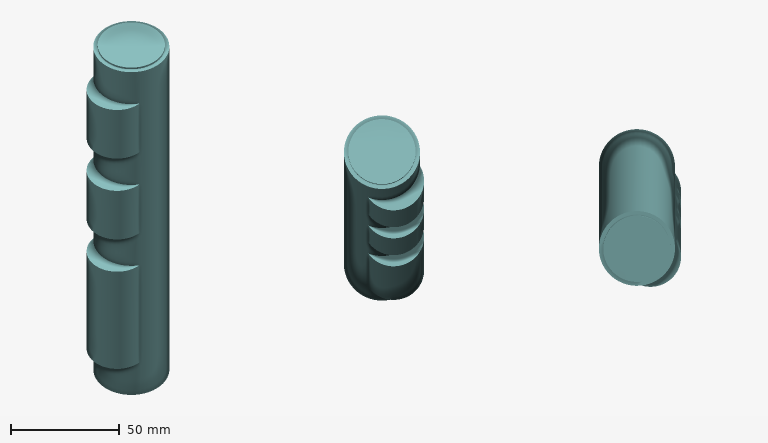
import cadquery as cq

total_length = 202.0
housing_diameter = 35.0
cap_diameter = 31.0
cap_thickness = 1.0
pad_diameter = 28.0
overall_depth = 41.5
short_pad_length = 30.0
pad_gap = 20.0

housing_length = total_length - 2 * cap_thickness
housing_top = housing_length / 2
housing_bottom = -housing_top
long_pad_length = 2 * short_pad_length
pad_front = housing_diameter / 2 - overall_depth
pad_axis_y = pad_front + pad_diameter / 2

pad_lengths = [long_pad_length, short_pad_length, short_pad_length]
pad_row_length = sum(pad_lengths) + (len(pad_lengths) - 1) * pad_gap


def cylinder(diameter, length, bottom_z, axis_y=0.0):
    """Upright solid cylinder standing on the height bottom_z."""
    base = cq.Workplane("XY", origin=(0, axis_y, bottom_z))
    return base.circle(diameter / 2).extrude(length)


def make_housing(pads):
    """Long round body with a matching pocket for each pad."""
    body = cylinder(housing_diameter, housing_length, housing_bottom)
    for pad in pads:
        body = body.cut(pad)
    return body


def make_cap(bottom_z):
    """Thin disc lying on one end face of the housing."""
    return cylinder(cap_diameter, cap_thickness, bottom_z)


def make_pad(length, bottom_z):
    """Full round pad, set into the front of the housing."""
    return cylinder(pad_diameter, length, bottom_z, pad_axis_y)


pads = []
pad_bottom = -pad_row_length / 2
for pad_length in pad_lengths:
    pads.append(make_pad(pad_length, pad_bottom))
    pad_bottom += pad_length + pad_gap

housing = make_housing(pads)

caps = []
for cap_bottom in (housing_bottom - cap_thickness, housing_top):
    caps.append(make_cap(cap_bottom))

pad_solids = [pad.val() for pad in pads]
cap_solids = [cap.val() for cap in caps]
result = cq.Compound.makeCompound([housing.val(), *cap_solids, *pad_solids])